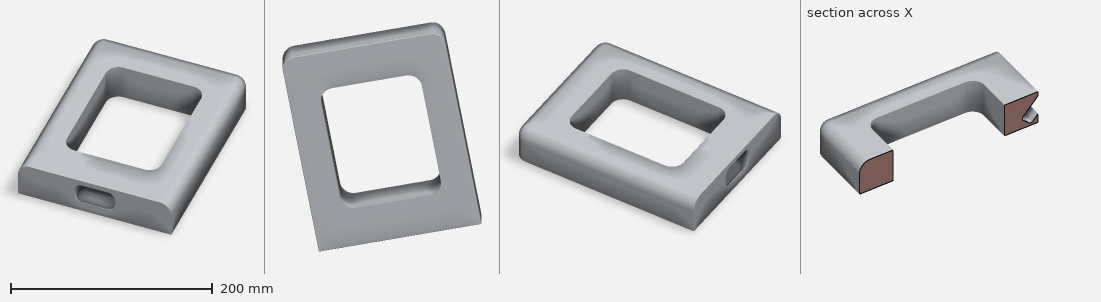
import cadquery as cq
import math

WIDTH = 164.0
LENGTH = 210.0
HEIGHT = 40.0
EDGE_RADIUS = 13.0
BOTTOM_CHAMFER = 0.5

RIM_CHAMFER = 0.4

WINDOW_WIDTH = 101.6
WINDOW_LENGTH = 130.6
WINDOW_RADIUS = 13.5

SLOT_WIDTH = 44.0
SLOT_HEIGHT = 15.0
SLOT_CENTER_Z = 23.0
SLOT_SLOPE = 48.0
SLOT_REACH = 19.5
SLOT_FLOOR_CHAMFER = 2.0


def make_block():
    """Block with rounded top edges and rear corners; the front face stays flat."""
    block = cq.Workplane("XY").box(WIDTH, LENGTH, HEIGHT, centered=(True, True, False))
    block = block.edges("|Z and >Y").fillet(EDGE_RADIUS)
    block = block.faces(">Z").edges("not <Y").fillet(EDGE_RADIUS)
    return block.faces("<Z").edges().chamfer(BOTTOM_CHAMFER)


def make_window():
    """Cutter for the window, centered on the block, with rounded corners."""
    window = cq.Workplane("XY").rect(WINDOW_WIDTH, WINDOW_LENGTH)
    return window.extrude(HEIGHT).edges("|Z").fillet(WINDOW_RADIUS)


def make_slot():
    """Cutter for the slot, which runs inward and downward from the front face."""
    slope = math.radians(SLOT_SLOPE)
    inward = cq.Vector(0, math.cos(slope), -math.sin(slope))
    depth = SLOT_REACH / math.cos(slope) - SLOT_HEIGHT / 2 * math.tan(slope)
    entry = cq.Vector(0, -LENGTH / 2, SLOT_CENTER_Z)
    floor = cq.Plane(origin=entry + inward * depth, xDir=(1, 0, 0), normal=inward * -1)
    slot = cq.Workplane(floor).slot2D(SLOT_WIDTH, SLOT_HEIGHT).extrude(2 * depth)
    return slot.faces(cq.selectors.DirectionMinMaxSelector(inward)).edges().chamfer(SLOT_FLOOR_CHAMFER)


def chamfer_opening_rim(part, face_selector):
    """Chamfer the rim of the opening in one outer face."""
    rims = part.faces(face_selector).val().innerWires()
    return part.newObject(rims).edges().chamfer(RIM_CHAMFER)


result = make_block().cut(make_window()).cut(make_slot())
result = chamfer_opening_rim(result, ">Z")
result = chamfer_opening_rim(result, "<Y")